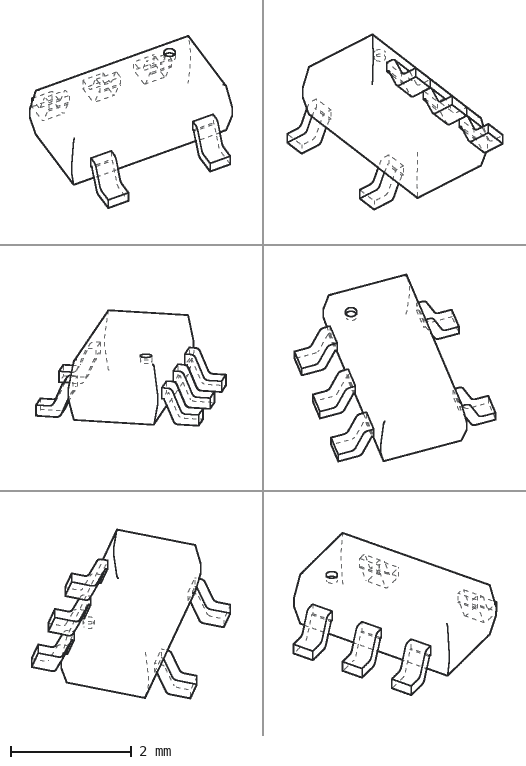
import cadquery as cq
import math

BODY_WIDTH = 1.51
BODY_LENGTH = 3.0
BODY_TOP = 1.1
BODY_BOTTOM = 0.05
TAPER_INSET = 0.078
EDGE_RADIUS = 0.035

MARK_DIAMETER = 0.19
MARK_DEPTH = 0.1
MARK_X = -0.447
MARK_Y = 0.955

LEAD_SPAN = 2.75
LEAD_THICKNESS = 0.19
LEAD_WIDTH = 0.378
LEAD_PITCH = 0.95
LEAD_TOP = 0.62
SHOULDER_LENGTH = 0.16
LEAD_SLOPE = 67.0
BEND_RADIUS = 0.09

BAND_TOP = LEAD_TOP
BAND_BOTTOM = LEAD_TOP - LEAD_THICKNESS

LEFT, RIGHT = -1, 1
LEAD_PLACES = [
    (LEFT, -LEAD_PITCH),
    (LEFT, 0),
    (LEFT, LEAD_PITCH),
    (RIGHT, -LEAD_PITCH),
    (RIGHT, LEAD_PITCH),
]


def tapered_half(band_z, end_z):
    """Frustum from the full outline at band_z to the inset outline at end_z."""
    return (
        cq.Workplane("XY")
        .workplane(offset=band_z)
        .rect(BODY_WIDTH, BODY_LENGTH)
        .workplane(offset=end_z - band_z)
        .rect(BODY_WIDTH - 2 * TAPER_INSET, BODY_LENGTH - 2 * TAPER_INSET)
        .loft(ruled=True)
    )


def make_body():
    upper = tapered_half(BAND_TOP, BODY_TOP).faces(">Z").edges().fillet(EDGE_RADIUS)
    lower = tapered_half(BAND_BOTTOM, BODY_BOTTOM).faces("<Z").edges().fillet(EDGE_RADIUS)
    band = (
        cq.Workplane("XY")
        .workplane(offset=BAND_BOTTOM)
        .rect(BODY_WIDTH, BODY_LENGTH)
        .extrude(LEAD_THICKNESS)
    )
    mark = (
        cq.Workplane("XY")
        .workplane(offset=BODY_TOP - MARK_DEPTH)
        .center(MARK_X, MARK_Y)
        .circle(MARK_DIAMETER / 2)
        .extrude(MARK_DEPTH)
    )
    return band.union(upper).union(lower).cut(mark)


def make_lead(side, y):
    """Bent strip of constant thickness that butts against the body's middle band."""
    wall_x = BODY_WIDTH / 2
    tip_x = LEAD_SPAN / 2
    slope = math.radians(LEAD_SLOPE)
    drop = LEAD_TOP - LEAD_THICKNESS
    run = drop / math.tan(slope)
    corner_shift = LEAD_THICKNESS * math.tan(slope / 2)

    outer_knee_x = wall_x + SHOULDER_LENGTH
    outer_ankle_x = outer_knee_x + run
    inner_knee_x = outer_knee_x - corner_shift
    inner_ankle_x = outer_ankle_x - corner_shift

    lead = (
        cq.Workplane("XZ")
        .polyline([
            (wall_x, LEAD_TOP),
            (outer_knee_x, LEAD_TOP),
            (outer_ankle_x, LEAD_THICKNESS),
            (tip_x, LEAD_THICKNESS),
            (tip_x, 0),
            (inner_ankle_x, 0),
            (inner_knee_x, drop),
            (wall_x, drop),
        ])
        .close()
        .extrude(LEAD_WIDTH / 2, both=True)
    )

    for bend_x, bend_z in [
        (outer_knee_x, LEAD_TOP),
        (outer_ankle_x, LEAD_THICKNESS),
        (inner_ankle_x, 0),
    ]:
        bend_edge = cq.NearestToPointSelector((bend_x, 0, bend_z))
        lead = lead.edges("|Y").edges(bend_edge).fillet(BEND_RADIUS)

    if side == LEFT:
        lead = lead.mirror("YZ")
    return lead.translate((0, y, 0))


body = make_body()
leads = [make_lead(side, y) for side, y in LEAD_PLACES]

result = cq.Compound.makeCompound([body.val(), *[lead.val() for lead in leads]])